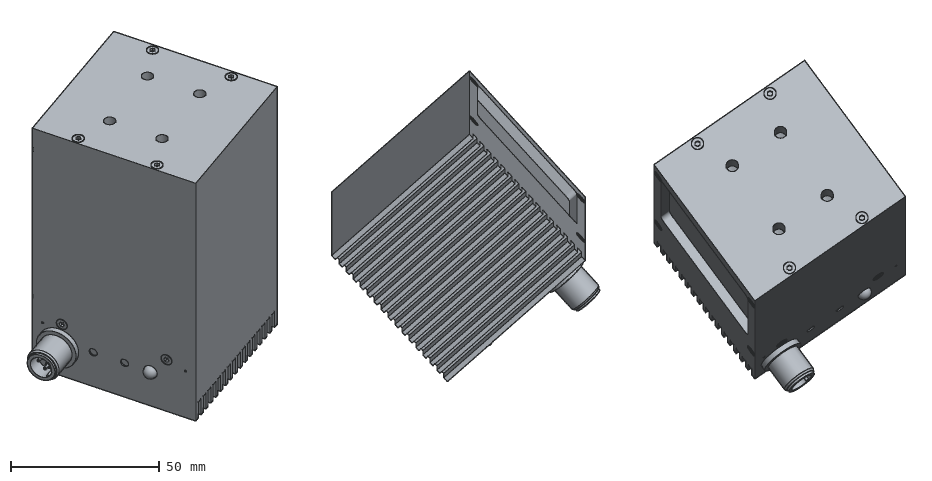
import cadquery as cq
import math

body_x = 62.4
body_y = 58.4
body_z = 103.5

slot_count = 16
slot_width = 2.0
slot_height = 6.9
end_fin = 1.9

window_size = 50.2
window_depth = 3.5
window_corner_radius = 2.0
window_top_gap = 8.4

screw_hole = 4.1
screw_head = 4.0
ring_depth = 0.2
socket_flats = 1.7
socket_depth = 1.0
top_screw_spacing_x = 30.0
top_screw_spacing_y = 53.2
side_screw_spacing_y = 53.9
side_screw_spacing_z = 64.0
side_screw_top_gap = 9.4
front_screw_spacing = 40.0
front_screw_z = 22.4

mount_hole = 4.1
mount_depth = 8.3
mount_spacing_x = 20.0
mount_spacing_y = 27.0
drill_tip_angle = 118.0

indicator_z = 14.9
indicator_diameter = 3.0
indicator_depth = 0.5
indicator_xs = (-8.0, 4.0)
lamp_x = 14.0
lamp_diameter = 5.1
mark_diameter = 0.7
mark_depth = 0.5
mark_spacing = 54.5
mark_z = 20.3

plug_x = -21.0
plug_z = 12.5
flange_diameter = 15.1
flange_length = 2.0
barrel_diameter = 12.1
barrel_length = 11.3
shoulder_diameter = 11.3
shoulder_length = 12.0
nose_diameter = 10.6
plug_length = 12.8
bore_diameter = 8.1
bore_depth = 5.2
pin_count = 4
pin_circle_radius = 2.5
pin_diameter = 1.0
pin_length = 2.6
pin_tip_chamfer = 0.2
collar_diameter = 2.0
collar_length = 0.3
key_diameter = 1.2
key_angle = -50.0
key_length = 5.0

top_face = cq.Plane((0, 0, body_z), xDir=(1, 0, 0), normal=(0, 0, 1))
front_face = cq.Plane((0, -body_y / 2, 0), xDir=(1, 0, 0), normal=(0, -1, 0))
left_face = cq.Plane((-body_x / 2, 0, 0), xDir=(0, -1, 0), normal=(-1, 0, 0))


def grid(spacing_u, spacing_v, centre_v=0.0):
    """Four corners of a rectangle centred on (0, centre_v)."""
    return [
        (u * spacing_u / 2, centre_v + v * spacing_v / 2)
        for u in (-1, 1)
        for v in (-1, 1)
    ]


def pair(spacing, height):
    """Two points mirrored about the middle at the same height."""
    return [(-spacing / 2, height), (spacing / 2, height)]


def screw_cuts(face, points):
    """Ring grooves and hex sockets of flush screws on one face."""
    rings = (
        cq.Workplane(face).pushPoints(points).circle(screw_hole / 2).circle(screw_head / 2)
        .extrude(-ring_depth)
    )
    socket_corners = socket_flats / math.cos(math.pi / 6)
    sockets = cq.Workplane(face).pushPoints(points).polygon(6, socket_corners).extrude(-socket_depth)
    return rings.union(sockets)


def round_cuts(face, points, diameter, depth):
    """Flat-bottomed round holes on one face."""
    return cq.Workplane(face).pushPoints(points).circle(diameter / 2).extrude(-depth)


def cooling_slots():
    pitch = (body_y - 2 * end_fin - slot_width) / (slot_count - 1)
    centres = [(0, (i - (slot_count - 1) / 2) * pitch) for i in range(slot_count)]
    return cq.Workplane("XY").pushPoints(centres).rect(body_x, slot_width).extrude(slot_height)


def window_recess():
    centre_z = body_z - window_top_gap - window_size / 2
    return (
        cq.Workplane(left_face).center(0, centre_z).rect(window_size, window_size)
        .extrude(-window_depth)
        .edges("|X").fillet(window_corner_radius)
    )


def mount_holes():
    radius = mount_hole / 2
    tip = radius / math.tan(math.radians(drill_tip_angle / 2))
    drill = (
        cq.Workplane("XZ")
        .polyline([(0, 0), (radius, 0), (radius, -mount_depth), (0, -mount_depth - tip)])
        .close()
        .revolve(360, (0, 0), (0, 1))
    ).val()
    holes = cq.Workplane(top_face).pushPoints(grid(mount_spacing_x, mount_spacing_y))
    return holes.eachpoint(lambda place: drill.moved(place), combine="a")


def lamp():
    return cq.Workplane("XY").sphere(lamp_diameter / 2).translate((lamp_x, -body_y / 2, indicator_z))


def plug():
    centre = front_face.toWorldCoords((plug_x, plug_z))
    base = cq.Plane(centre, xDir=(1, 0, 0), normal=(0, -1, 0))
    profile = cq.Plane(centre, xDir=(1, 0, 0), normal=(0, 0, 1))
    floor = plug_length - bore_depth
    bore_floor = base.toWorldCoords((0, 0, floor))
    bore_plane = cq.Plane(bore_floor, xDir=(1, 0, 0), normal=(0, -1, 0))

    shell = (
        cq.Workplane(profile)
        .polyline([
            (0, 0),
            (flange_diameter / 2, 0),
            (flange_diameter / 2, -flange_length),
            (barrel_diameter / 2, -flange_length),
            (barrel_diameter / 2, -barrel_length),
            (shoulder_diameter / 2, -shoulder_length),
            (nose_diameter / 2, -shoulder_length),
            (nose_diameter / 2, -plug_length),
            (bore_diameter / 2, -plug_length),
            (bore_diameter / 2, -floor),
            (0, -floor),
        ])
        .close()
        .revolve(360, (0, 0), (0, 1))
    )
    contacts = cq.Workplane(bore_plane).polarArray(pin_circle_radius, 0, 360, pin_count)
    collars = contacts.circle(collar_diameter / 2).extrude(collar_length)
    pins = contacts.circle(pin_diameter / 2).extrude(pin_length).faces("<Y").chamfer(pin_tip_chamfer)
    key = (
        cq.Workplane(bore_plane).polarArray(bore_diameter / 2, key_angle, 360, 1)
        .circle(key_diameter / 2).extrude(key_length)
    )
    return shell.union(collars).union(pins).union(key)


side_screw_z = body_z - side_screw_top_gap - side_screw_spacing_z / 2
indicator_points = [(x, indicator_z) for x in indicator_xs]

result = (
    cq.Workplane("XY").box(body_x, body_y, body_z, centered=(True, True, False))
    .cut(cooling_slots())
    .cut(window_recess())
    .cut(mount_holes())
    .cut(screw_cuts(top_face, grid(top_screw_spacing_x, top_screw_spacing_y)))
    .cut(screw_cuts(left_face, grid(side_screw_spacing_y, side_screw_spacing_z, side_screw_z)))
    .cut(screw_cuts(front_face, pair(front_screw_spacing, front_screw_z)))
    .cut(round_cuts(front_face, indicator_points, indicator_diameter, indicator_depth))
    .cut(round_cuts(front_face, pair(mark_spacing, mark_z), mark_diameter, mark_depth))
    .union(lamp())
    .union(plug())
)